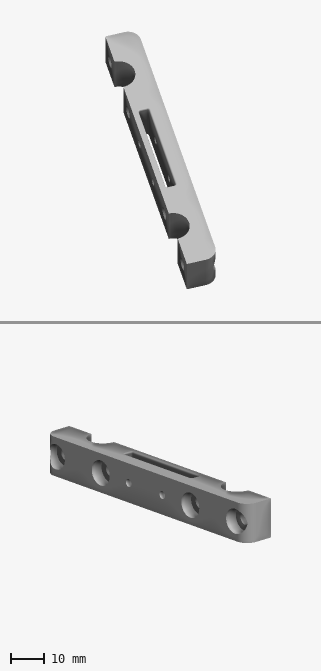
import cadquery as cq

LENGTH = 90.0
DEPTH = 10.0
HEIGHT = 12.5
BACK_CORNER_RADIUS = 4.0
FRONT_Y = -DEPTH / 2
BACK_Y = DEPTH / 2

SEAT_DIAMETER = 9.9
SEAT_OFFSET = 30.0

SCREW_DIAMETER = 4.0
SCREW_HEAD_DIAMETER = 8.0
SCREW_HEAD_DEPTH = 4.0
SCREW_TO_SEAT = 10.0
SCREW_OFFSETS = [SEAT_OFFSET - SCREW_TO_SEAT, SEAT_OFFSET + SCREW_TO_SEAT]

SMALL_HOLE_DIAMETER = 2.5
SMALL_HOLE_OFFSET = 7.5

SLOT_LENGTH = 30.1
SLOT_WIDTH = 3.1
SLOT_FRONT_WALL = 1.9
SLOT_CORNER_RADIUS = 0.5
SLOT_RIM_RADIUS = 0.5


def mirrored(offset):
    """X positions at equal distances either side of the middle."""
    return [-offset, offset]


def make_bar():
    bar = cq.Workplane("XY").box(LENGTH, DEPTH, HEIGHT)
    return bar.edges("|Z and >Y").fillet(BACK_CORNER_RADIUS)


def rod_seats():
    centres = [(x, FRONT_Y) for x in mirrored(SEAT_OFFSET)]
    plane = cq.Workplane("XY", origin=(0, 0, -HEIGHT / 2))
    return plane.pushPoints(centres).circle(SEAT_DIAMETER / 2).extrude(HEIGHT)


def holes_from_back(x_positions, diameter, depth):
    """Cylinders running forward from the back face at mid height."""
    plane = cq.Workplane("XZ", origin=(0, BACK_Y, 0))
    return plane.pushPoints([(x, 0) for x in x_positions]).circle(diameter / 2).extrude(depth)


def make_slot():
    """Straight slot with rounded corners."""
    centre_y = FRONT_Y + SLOT_FRONT_WALL + SLOT_WIDTH / 2
    slot = cq.Workplane("XY").center(0, centre_y).box(SLOT_LENGTH, SLOT_WIDTH, HEIGHT)
    return slot.edges("|Z").fillet(SLOT_CORNER_RADIUS)


def cut_slot(body):
    """Cut the slot and round over its top rim."""
    body = body.cut(make_slot())
    rim_front_y = FRONT_Y + SLOT_FRONT_WALL
    rim = cq.selectors.BoxSelector(
        (-SLOT_LENGTH, rim_front_y - SLOT_RIM_RADIUS, HEIGHT / 2 - SLOT_RIM_RADIUS),
        (SLOT_LENGTH, rim_front_y + SLOT_WIDTH + SLOT_RIM_RADIUS, HEIGHT / 2 + SLOT_RIM_RADIUS),
    )
    return body.edges(rim).fillet(SLOT_RIM_RADIUS)


screw_positions = [x for offset in SCREW_OFFSETS for x in mirrored(offset)]

result = cut_slot(make_bar())
result = result.cut(rod_seats())
result = result.cut(holes_from_back(screw_positions, SCREW_DIAMETER, DEPTH))
result = result.cut(holes_from_back(screw_positions, SCREW_HEAD_DIAMETER, SCREW_HEAD_DEPTH))
result = result.cut(holes_from_back(mirrored(SMALL_HOLE_OFFSET), SMALL_HOLE_DIAMETER, DEPTH))